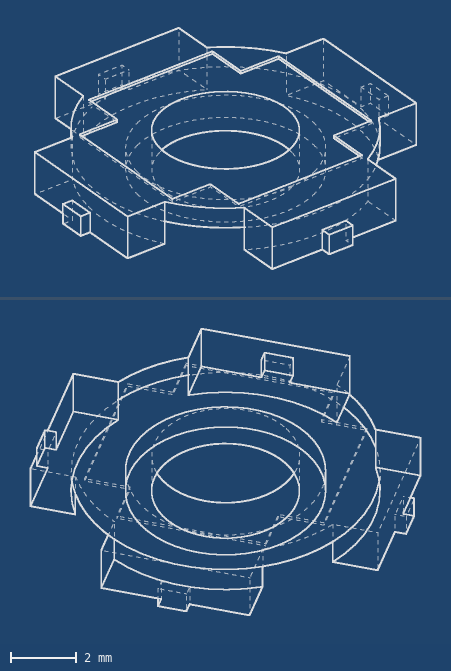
import cadquery as cq

overall_span = 11.7
height = 1.5
arm_span = 11.0
arm_width = 4.7
disc_diameter = 9.41
disc_thickness = 0.7
hub_diameter = 6.1
bore_diameter = 4.5
recess_span = 7.58
recess_depth = 0.09
tab_width = 0.9
tab_height = 0.7

groove_depth = height - disc_thickness


def cross(span, width, thickness, base):
    """Plus-shaped plate made of two centred bars, standing on the given level."""
    plane = cq.Workplane("XY").workplane(offset=base)
    along_x = plane.rect(span, width).extrude(thickness)
    along_y = plane.rect(width, span).extrude(thickness)
    return along_x.union(along_y)


body = cross(arm_span, arm_width, height, 0)

groove = (
    cq.Workplane("XY")
    .circle(disc_diameter / 2)
    .circle(hub_diameter / 2)
    .extrude(groove_depth)
)
body = body.cut(groove)

hub = cq.Workplane("XY").circle(hub_diameter / 2).extrude(height)
disc = (
    cq.Workplane("XY")
    .workplane(offset=groove_depth)
    .circle(disc_diameter / 2)
    .extrude(disc_thickness)
)
body = body.union(hub).union(disc)

body = body.cut(cross(recess_span, arm_width, recess_depth, height - recess_depth))

tab_length = (overall_span - arm_span) / 2
tab_center = (arm_span + tab_length) / 2
for angle in (0, 90, 180, 270):
    tab = (
        cq.Workplane("XY")
        .center(tab_center, 0)
        .rect(tab_length, tab_width)
        .extrude(tab_height)
        .rotate((0, 0, 0), (0, 0, 1), angle)
    )
    body = body.union(tab)

bore = cq.Workplane("XY").circle(bore_diameter / 2).extrude(height)
result = body.cut(bore)